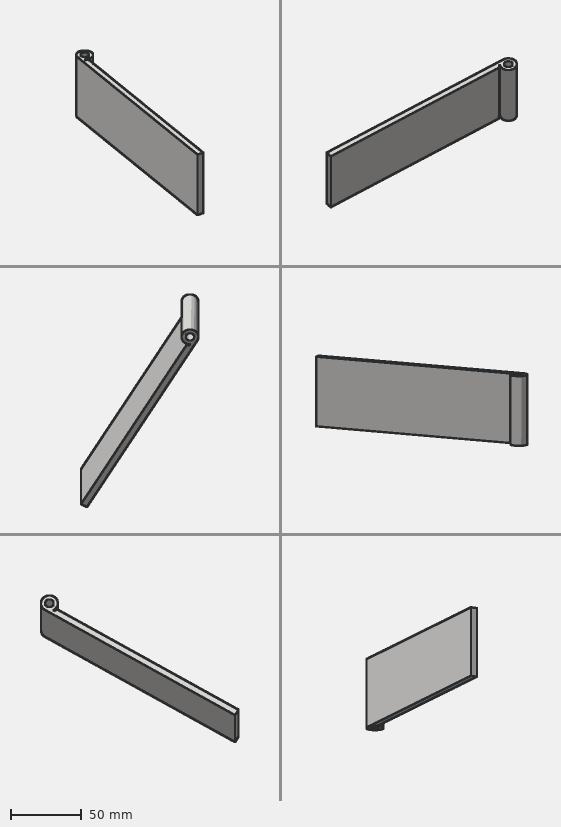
import cadquery as cq

length = 162.0
height = 50.0
eye_diameter = 12.0
bore_diameter = 6.0
plate_thickness = 4.9
notch_edge_x = 7.5
notch_floor_x = 6.0
notch_floor_y = -3.0

eye_radius = eye_diameter / 2
plate_outer_y = -eye_radius
plate_inner_y = plate_outer_y + plate_thickness
plate_end_x = length - eye_radius

plate = (
    cq.Workplane("XY")
    .moveTo(0, plate_outer_y)
    .lineTo(plate_end_x, plate_outer_y)
    .lineTo(plate_end_x, plate_inner_y)
    .lineTo(notch_edge_x, plate_inner_y)
    .lineTo(notch_floor_x, notch_floor_y)
    .lineTo(0, notch_floor_y)
    .close()
    .extrude(height)
)

eye = cq.Workplane("XY").circle(eye_radius).extrude(height)
bore = cq.Workplane("XY").circle(bore_diameter / 2).extrude(height)

result = plate.union(eye).cut(bore)